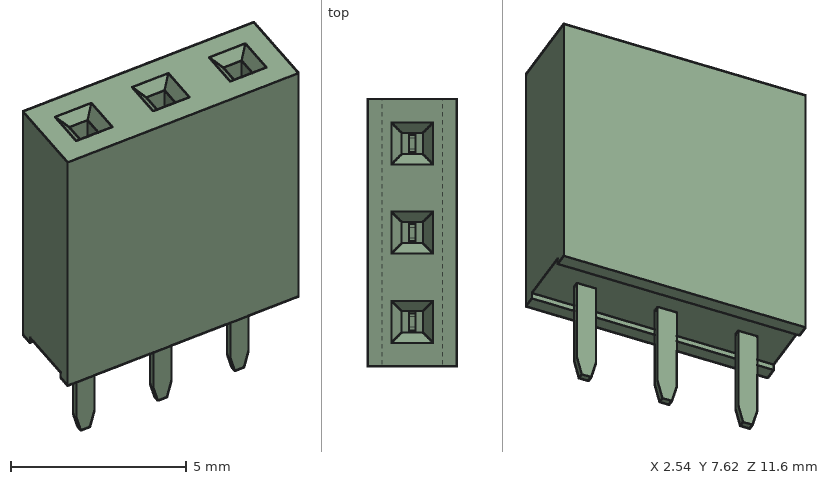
import cadquery as cq


contact_count = 3
pitch = 2.54
housing_width = 2.54
housing_length = contact_count * pitch
housing_height = 8.5
foot_width = 0.41
foot_height = 0.2

overall_height = 11.6
pin_width = 0.6
pin_thickness = 0.2
pin_tip_width = 0.3
pin_taper_length = 0.57

funnel_width = 1.2
socket_width = 0.6
funnel_depth = (funnel_width - socket_width) / 2
socket_depth = 5.0
slot_floor_length = 0.49
slot_depth = (socket_width - slot_floor_length) / 2

pin_tip_z = housing_height - overall_height
socket_floor_z = housing_height - socket_depth
contact_positions = [
    (i - (contact_count - 1) / 2) * pitch for i in range(contact_count)
]


def make_housing():
    """Block with a channel along the underside, leaving a foot on each side."""
    block = cq.Workplane("XY").box(
        housing_width, housing_length, housing_height, centered=(True, True, False)
    )
    channel = cq.Workplane("XY").box(
        housing_width - 2 * foot_width, housing_length, foot_height, centered=(True, True, False)
    )
    return block.cut(channel)


def make_pin(y):
    """Flat pin hanging from the channel roof, narrowing in Y towards its tip."""
    half_width = pin_width / 2
    half_tip = pin_tip_width / 2
    taper_start_z = pin_tip_z + pin_taper_length
    return (
        cq.Workplane("YZ")
        .moveTo(y - half_width, foot_height)
        .lineTo(y - half_width, taper_start_z)
        .lineTo(y - half_tip, pin_tip_z)
        .lineTo(y + half_tip, pin_tip_z)
        .lineTo(y + half_width, taper_start_z)
        .lineTo(y + half_width, foot_height)
        .close()
        .extrude(pin_thickness / 2, both=True)
    )


def make_socket(y):
    """Cutter for one socket: funnel, square hole and a narrow slot in its floor."""
    hole = (
        cq.Workplane("XY", origin=(0, y, socket_floor_z))
        .rect(socket_width, socket_width)
        .extrude(socket_depth)
    )
    funnel = (
        cq.Workplane("XY", origin=(0, y, housing_height - funnel_depth))
        .rect(socket_width, socket_width)
        .workplane(offset=funnel_depth)
        .rect(funnel_width, funnel_width)
        .loft(ruled=True)
    )
    slot_floor_z = socket_floor_z - slot_depth
    slot = (
        cq.Workplane("YZ")
        .moveTo(y - slot_floor_length / 2, slot_floor_z)
        .lineTo(y + slot_floor_length / 2, slot_floor_z)
        .lineTo(y + socket_width / 2, socket_floor_z)
        .lineTo(y - socket_width / 2, socket_floor_z)
        .close()
        .extrude(pin_thickness / 2, both=True)
    )
    return hole.union(funnel).union(slot)


result = make_housing()
for contact_y in contact_positions:
    result = result.cut(make_socket(contact_y)).union(make_pin(contact_y))